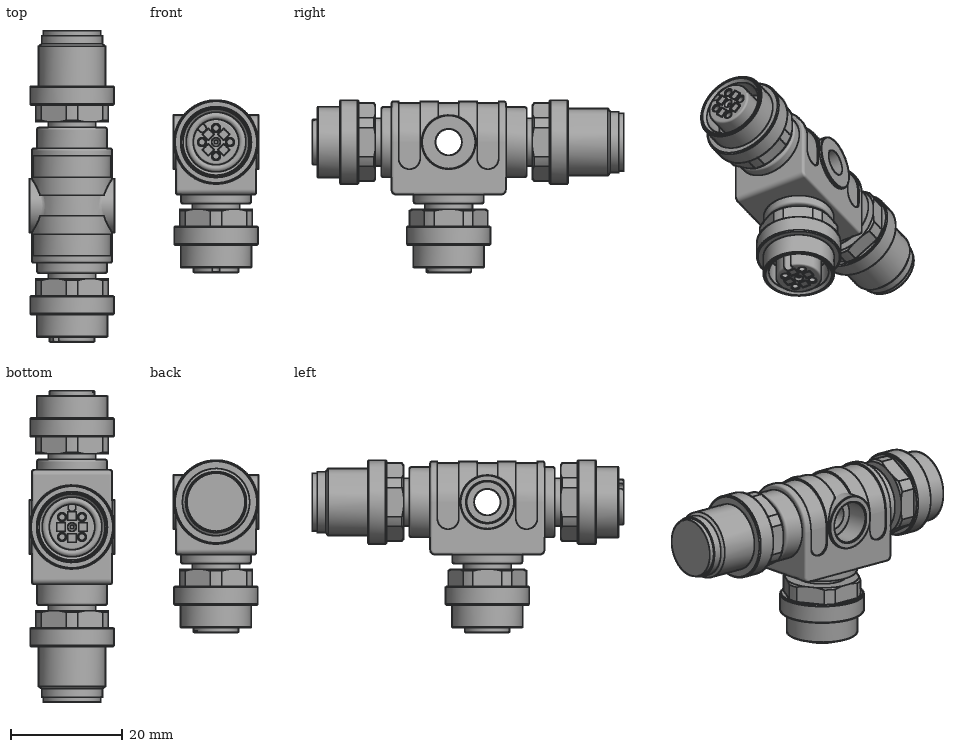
import cadquery as cq

body_half_width = 7.2
body_crown = 7.35
arch_center_height = body_crown - body_half_width
body_length = 20.6
body_drop = 9.45
body_corner_radius = 0.95
body_fillet = 0.45
groove_depth = 0.3
side_groove_width = 3.85
side_groove_offset = 7.05
side_groove_bottom = -4.9
middle_groove_width = 3.7

boss_radius = 4.9
boss_width = 15.4
boss_edge = 0.1
boss_root_fillet = 0.7
screw_hole_radius = 2.35
counterbore_radius = 3.7
counterbore_depth = 4.5
counterbore_bevel = 0.15

flange_radius = 6.3
flange_fillet = 0.45
neck_radius = 4.3
neck_length = 1.0
hex_apothem = 6.55
hex_corner_radius = 7.05
hex_length = 3.0
hex_bevel_radial = 0.42
hex_bevel_axial = 0.3
collar_radius = 7.55
collar_length = 3.4
collar_bevel = 0.2

plug_flange_reach = 14.05
plug_tip_reach = 31.5
barrel_radius = 6.05
barrel_reach = 28.6
barrel_taper = 0.45
plug_step_radius = 5.5
plug_step_reach = 30.6
plug_tip_radius = 5.2

run_socket_reach = 24.5
branch_socket_reach = 23.45
socket_flange_setback = 12.4
sleeve_radius = 6.4
sleeve_setback = 0.9
sleeve_bevel = 0.15
bore_radius = 5.4
bore_mouth_bevel = 0.55
bore_depth = 5.05
insert_radius = 4.1
insert_fillet = 0.35
keyway_width = 1.4
keyway_center = 3.5
contact_count = 4
contact_circle = 2.5
contact_hole_radius = 0.6
contact_mouth_radius = 0.8
contact_depth = 3.35
center_hole_radius = 0.35
recess_width = 1.5
recess_circle = 1.95
recess_depth = 0.15
run_key_angle = 135
branch_key_angle = 90

seal_ring_radius = (bore_radius + insert_radius) / 2
seal_section_radius = (bore_radius - insert_radius) / 2


def cylinder(radius, start, end):
    """Cylinder on the Z axis between two heights."""
    return cq.Workplane("XY").workplane(offset=start).circle(radius).extrude(end - start)


def coupling(flange_reach):
    """Flange, neck, hexagon and collar along +Z; returns the solid and the collar's far height."""
    hex_start = flange_reach + neck_length
    hex_end = hex_start + hex_length
    collar_end = hex_end + collar_length

    flange = cylinder(flange_radius, 0, flange_reach).faces(">Z").edges().fillet(flange_fillet)
    neck = cylinder(neck_radius, 0, hex_end)

    hexagon = (
        cq.Workplane("XY").workplane(offset=hex_start)
        .polygon(6, 2 * hex_apothem, circumscribed=True).extrude(hex_length)
    )
    turned_corners = (
        cylinder(hex_corner_radius, hex_start, hex_end)
        .faces("<Z").chamfer(hex_bevel_axial, hex_bevel_radial)
    )
    hexagon = hexagon.intersect(turned_corners)

    collar = cylinder(collar_radius, hex_end, collar_end).edges().chamfer(collar_bevel)
    return flange.union(neck).union(hexagon).union(collar), collar_end


def plug_end():
    """Plug with a stepped barrel, pointing along +Z."""
    solid, collar_end = coupling(plug_flange_reach)
    taper_end = barrel_reach + barrel_taper
    barrel = (
        cq.Workplane("XZ")
        .moveTo(0, collar_end)
        .lineTo(barrel_radius, collar_end)
        .lineTo(barrel_radius, barrel_reach)
        .lineTo(plug_step_radius, taper_end)
        .lineTo(plug_step_radius, plug_step_reach)
        .lineTo(plug_tip_radius, plug_step_reach)
        .lineTo(plug_tip_radius, plug_tip_reach)
        .lineTo(0, plug_tip_reach)
        .close()
        .revolve(360, (0, 0, 0), (0, 1, 0))
    )
    return solid.union(barrel)


def contact_insert(base, tip):
    """Contact carrier along +Z with its keyway on the +Y side."""
    insert = cylinder(insert_radius, base, tip).faces(">Z").edges().fillet(insert_fillet)

    keyway = cylinder(keyway_width / 2, base, tip).translate((0, keyway_center, 0)).union(
        cq.Workplane("XY", origin=(0, keyway_center, base))
        .box(keyway_width, insert_radius, tip - base, centered=(True, False, False))
    )

    face = cq.Workplane("XY").workplane(offset=tip)
    contact_pitch = 360 / contact_count
    mouth_flare = contact_mouth_radius - contact_hole_radius
    outer_holes = (
        face.polarArray(contact_circle, contact_pitch / 2, 360, contact_count)
        .circle(contact_hole_radius).extrude(-contact_depth)
        .union(
            face.polarArray(contact_circle, contact_pitch / 2, 360, contact_count)
            .circle(contact_mouth_radius).extrude(-mouth_flare, taper=45)
        )
    )
    center_flare = contact_mouth_radius - center_hole_radius
    center_hole = (
        face.circle(center_hole_radius).extrude(-contact_depth)
        .union(face.circle(contact_mouth_radius).extrude(-center_flare, taper=45))
    )
    recesses = (
        face.polarArray(recess_circle, 0, 360, contact_count)
        .rect(recess_width, recess_width).extrude(-recess_depth)
    )
    return insert.cut(keyway).cut(outer_holes).cut(center_hole).cut(recesses)


def socket_end(reach, key_angle):
    """Socket pointing along +Z with its keyway at the given angle from +X."""
    solid, collar_end = coupling(reach - socket_flange_setback)
    sleeve_end = reach - sleeve_setback
    bore_floor = sleeve_end - bore_depth

    sleeve = cylinder(sleeve_radius, collar_end, sleeve_end).faces(">Z").edges().chamfer(sleeve_bevel)
    bore = (
        cq.Workplane("XZ")
        .moveTo(0, bore_floor)
        .lineTo(bore_radius, bore_floor)
        .lineTo(bore_radius, sleeve_end - bore_mouth_bevel)
        .lineTo(bore_radius + bore_mouth_bevel, sleeve_end)
        .lineTo(0, sleeve_end)
        .close()
        .revolve(360, (0, 0, 0), (0, 1, 0))
    )
    seal = (
        cq.Workplane("XZ").center(seal_ring_radius, bore_floor).circle(seal_section_radius)
        .revolve(360, (-seal_ring_radius, 0, 0), (-seal_ring_radius, 1, 0))
    )
    insert = contact_insert(bore_floor, reach).rotate((0, 0, 0), (0, 0, 1), key_angle - 90)
    return solid.union(sleeve).cut(bore).union(seal).union(insert)


def arch(inset, bottom, width, center):
    """Body cross-section drawn in by an inset, extending along Y about a center."""
    half_width = body_half_width - inset
    return (
        cq.Workplane("XZ", origin=(0, center + width / 2, 0))
        .moveTo(-half_width, bottom)
        .lineTo(-half_width, arch_center_height)
        .threePointArc((0, body_crown - inset), (half_width, arch_center_height))
        .lineTo(half_width, bottom)
        .close()
        .extrude(width)
    )


def groove(center, width):
    """Band over the arched top and down both sides, with rounded lower ends."""
    end_radius = width / 2
    shell = arch(-groove_depth, side_groove_bottom, width, center).cut(
        arch(groove_depth, side_groove_bottom, width, center)
    )
    side_outline = (
        cq.Workplane("YZ", origin=(-boss_width, center, 0))
        .moveTo(-end_radius, 2 * body_crown)
        .lineTo(-end_radius, side_groove_bottom + end_radius)
        .threePointArc((0, side_groove_bottom), (end_radius, side_groove_bottom + end_radius))
        .lineTo(end_radius, 2 * body_crown)
        .close()
        .extrude(2 * boss_width)
    )
    return shell.intersect(side_outline)


def body():
    """Arched block with two side grooves, a middle groove and the cross boss."""
    block = arch(0, -body_drop, body_length, 0)
    block = block.faces("<Z").edges("|X").fillet(body_corner_radius)
    block = block.faces("<Z").edges("|Y").fillet(body_fillet)
    for center in (-side_groove_offset, side_groove_offset):
        block = block.cut(groove(center, side_groove_width))
    block = block.cut(groove(0, middle_groove_width))
    boss = (
        cq.Workplane("YZ", origin=(-boss_width / 2, 0, 0))
        .circle(boss_radius).extrude(boss_width).edges().chamfer(boss_edge)
    )
    return block.union(boss).union(boss_root(boss))


def boss_root(boss):
    """Slice of the middle groove's floor, blended into the top of the boss."""
    floor = arch(groove_depth, 0, middle_groove_width, 0)
    boss_top = boss.intersect(
        cq.Workplane("XY").box(boss_width, middle_groove_width, body_crown, centered=(True, True, False))
    )
    roots = cq.selectors.BoxSelector(
        (-body_half_width, -middle_groove_width / 4, boss_radius - boss_root_fillet),
        (body_half_width, middle_groove_width / 4, boss_radius + boss_root_fillet),
    )
    return floor.union(boss_top).edges(roots).fillet(boss_root_fillet)


def screw_hole():
    """Through hole along X, counterbored from the -X side."""
    side = cq.Workplane("YZ", origin=(-boss_width / 2, 0, 0))
    return (
        side.circle(screw_hole_radius).extrude(boss_width)
        .union(side.circle(counterbore_radius).extrude(counterbore_depth))
        .union(side.circle(counterbore_radius + counterbore_bevel).extrude(counterbore_bevel, taper=45))
    )


def swing(solid, angle):
    """Swing an end from +Z about the X axis."""
    return solid.rotate((0, 0, 0), (1, 0, 0), angle)


result = (
    body()
    .union(swing(plug_end(), -90))
    .union(swing(socket_end(run_socket_reach, run_key_angle), 90))
    .union(swing(socket_end(branch_socket_reach, branch_key_angle), 180))
    .cut(screw_hole())
)